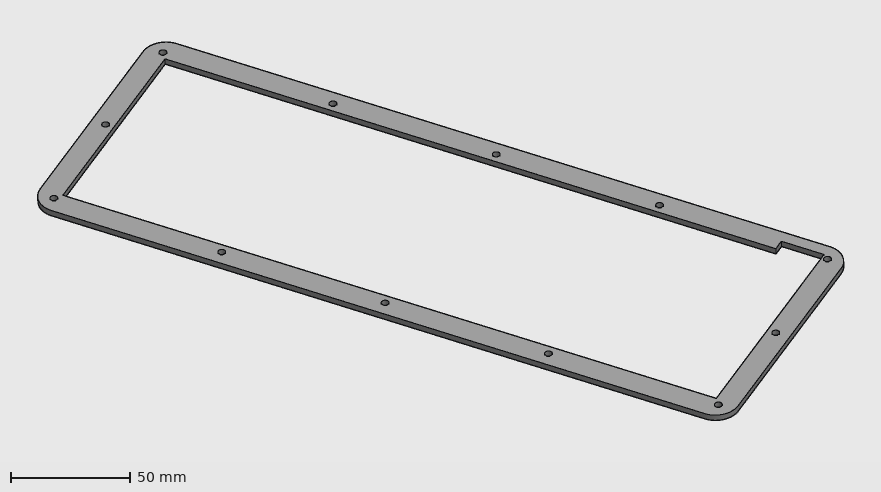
import cadquery as cq

length = 327.0
width = 117.5
thickness = 3.0
corner_radius = 10.5
end_band = 10.5
side_band = 10.8
tilt_angle = 3.0

notch_length = 20.0
notch_depth = 5.2

hole_diameter = 3.3
edge_inset = 6.5
corner_inset_x = 8.0
corner_inset_y = 7.5
hole_pitch = 76.5

window_length = length - 2 * end_band
window_width = width - 2 * side_band


def frame_plate():
    """Rounded plate with a sharp-cornered rectangular window."""
    plate = cq.Workplane("XY").box(length, width, thickness).edges("|Z").fillet(corner_radius)
    window = cq.Workplane("XY").box(window_length, window_width, 2 * thickness)
    return plate.cut(window)


def corner_notch():
    """Block reaching from the window into the +Y side of the frame."""
    center_x = (window_length - notch_length) / 2
    center_y = (window_width + notch_depth) / 2
    return (
        cq.Workplane("XY")
        .center(center_x, center_y)
        .rect(notch_length, notch_depth)
        .extrude(thickness, both=True)
    )


def hole_positions():
    """Four corner holes, three on each long side and one on each end."""
    points = []
    for side in (-1, 1):
        points.append((side * (length / 2 - edge_inset), 0))
        for step in (-1, 0, 1):
            points.append((step * hole_pitch, side * (width / 2 - edge_inset)))
        for end in (-1, 1):
            points.append((end * (length / 2 - corner_inset_x), side * (width / 2 - corner_inset_y)))
    return points


def screw_holes():
    return (
        cq.Workplane("XY")
        .pushPoints(hole_positions())
        .circle(hole_diameter / 2)
        .extrude(thickness, both=True)
    )


flat_frame = frame_plate().cut(corner_notch()).cut(screw_holes())
result = flat_frame.rotate((0, 0, 0), (1, 0, 0), tilt_angle)